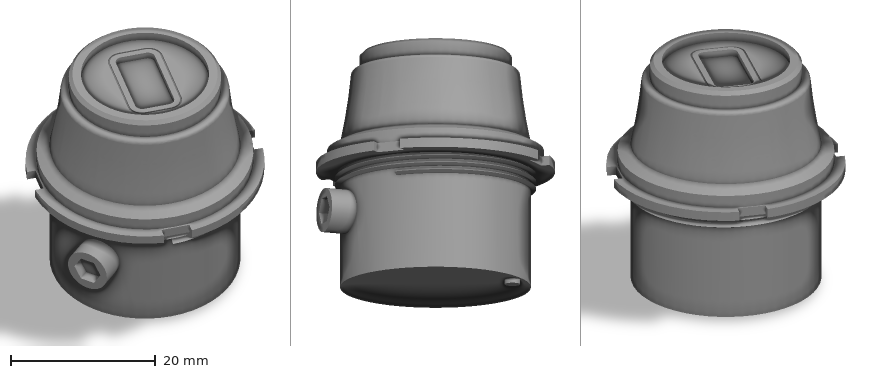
import cadquery as cq
import math

total_height = 33.65
body_bottom = 0.65
flange_bottom = 16.85
flange_thickness = 1.3
flange_top = flange_bottom + flange_thickness
collar_edge = 19.95
dome_bottom = 20.95
dome_top = 31.1

body_radius = 13.2
flange_diameter = 33.02
flange_radius = flange_diameter / 2
collar_radius = 14.98
dome_top_radius = 11.65
dome_hollow = 0.17
dome_fillet = 0.55
cap_radius = 10.55
cap_chamfer = 0.5

notch_width = 4.0
notch_floor = 15.15
notch_count = 4

thread_pitch = 1.0
thread_crest_radius = 13.95
thread_start = 14.2
thread_end = flange_bottom + 0.5 * flange_thickness
thread_base_width = 0.9 * thread_pitch
thread_root_overlap = 0.17

dish_radius = 8.85
dish_depth = 1.25
dish_floor = total_height - dish_depth
pocket_length = 11.55
pocket_width = 5.6
pocket_corner = 1.0
pocket_depth = 1.0
groove_length = 13.6
groove_breadth = 7.75
groove_corner = 2.02
groove_gap = 0.27
groove_depth = 0.2

screw_angle = -45
screw_height = 10.25
screw_radius = 3.05
screw_face = 16.45
screw_root = 10.1
socket_across_corners = 4.1
socket_depth = 1.55

pin_radius = 1.08
pin_offset = 11.65


def plain_body():
    """Cylindrical body, running up inside the flange."""
    return (
        cq.Workplane("XY", origin=(0, 0, body_bottom))
        .circle(body_radius)
        .extrude(flange_top - body_bottom)
    )


def flange_and_collar():
    """Flange and bevelled collar, turned about Z."""
    return (
        cq.Workplane("XZ")
        .moveTo(0, flange_bottom)
        .lineTo(flange_radius, flange_bottom)
        .lineTo(flange_radius, flange_top)
        .lineTo(collar_radius, flange_top)
        .lineTo(collar_radius, collar_edge)
        .lineTo(body_radius, dome_bottom)
        .lineTo(0, dome_bottom)
        .close()
        .revolve(360, (0, 0, 0), (0, 1, 0))
    )


def dome():
    """Tapered dome with a slightly hollow wall and a rounded shoulder."""
    middle_radius = (body_radius + dome_top_radius) / 2 - dome_hollow
    middle_height = (dome_bottom + dome_top) / 2
    return (
        cq.Workplane("XZ")
        .moveTo(0, dome_bottom)
        .lineTo(body_radius, dome_bottom)
        .threePointArc((middle_radius, middle_height), (dome_top_radius, dome_top))
        .lineTo(0, dome_top)
        .close()
        .revolve(360, (0, 0, 0), (0, 1, 0))
        .faces(">Z")
        .edges()
        .fillet(dome_fillet)
    )


def cap():
    """Chamfered disc on top of the dome."""
    return (
        cq.Workplane("XY", origin=(0, 0, dome_top))
        .circle(cap_radius)
        .extrude(total_height - dome_top)
        .faces(">Z")
        .chamfer(cap_chamfer)
    )


def thread():
    """Right-handed V ridge whose upper end runs out inside the flange."""
    root_radius = body_radius - thread_root_overlap
    half_base = thread_base_width / 2
    path = cq.Wire.makeHelix(
        thread_pitch,
        thread_end - thread_start,
        body_radius,
        center=cq.Vector(0, 0, thread_start),
    )
    return (
        cq.Workplane("XZ")
        .moveTo(root_radius, thread_start - half_base)
        .lineTo(thread_crest_radius, thread_start)
        .lineTo(root_radius, thread_start + half_base)
        .close()
        .sweep(cq.Workplane(obj=path), isFrenet=True)
    )


def flange_notches():
    """Cutters for the evenly spaced rim notches."""
    depth = flange_radius - notch_floor
    notch = cq.Workplane("XY").box(
        2 * depth, notch_width, flange_thickness, centered=(False, True, False)
    ).translate((notch_floor, 0, flange_bottom))
    cutters = cq.Workplane("XY")
    for index in range(notch_count):
        cutters = cutters.add(notch.rotate((0, 0, 0), (0, 0, 1), index * 360 / notch_count))
    return cutters.combine()


def rounded_block(length, width, corner, depth):
    """Rounded rectangle reaching down from the dish floor."""
    return (
        cq.Workplane("XY", origin=(0, 0, dish_floor - depth))
        .rect(length, width)
        .extrude(depth)
        .edges("|Z")
        .fillet(corner)
    )


def dish():
    """Round recess in the top of the cap."""
    return cq.Workplane("XY", origin=(0, 0, dish_floor)).circle(dish_radius).extrude(dish_depth)


def label_groove():
    """Narrow frame groove around the label pocket."""
    outer = rounded_block(groove_length, groove_breadth, groove_corner, groove_depth)
    inner = rounded_block(
        groove_length - 2 * groove_gap,
        groove_breadth - 2 * groove_gap,
        groove_corner - groove_gap,
        groove_depth,
    )
    return outer.cut(inner)


def socket_screw():
    """Cylindrical screw head with a hexagon socket, flats facing up and down."""
    angle = math.radians(screw_angle)
    outward = cq.Vector(math.cos(angle), math.sin(angle), 0)
    sideways = cq.Vector(-math.sin(angle), math.cos(angle), 0)
    face = cq.Plane(
        origin=outward * screw_face + cq.Vector(0, 0, screw_height),
        xDir=sideways,
        normal=outward,
    )
    head = cq.Workplane(face).circle(screw_radius).extrude(screw_root - screw_face)
    socket = cq.Workplane(face).polygon(6, socket_across_corners).extrude(-socket_depth)
    return head.cut(socket)


def locating_pin():
    """Short pin below the body on the +Y side, as tall as the gap under it."""
    return cq.Workplane("XY").center(0, pin_offset).circle(pin_radius).extrude(body_bottom)


threaded_body = plain_body().union(thread())
rim = flange_and_collar().cut(flange_notches())
housing = rim.union(threaded_body).union(dome()).union(cap())
housing = housing.cut(dish())
housing = housing.cut(rounded_block(pocket_length, pocket_width, pocket_corner, pocket_depth))
housing = housing.cut(label_groove())
result = housing.union(socket_screw()).union(locating_pin())